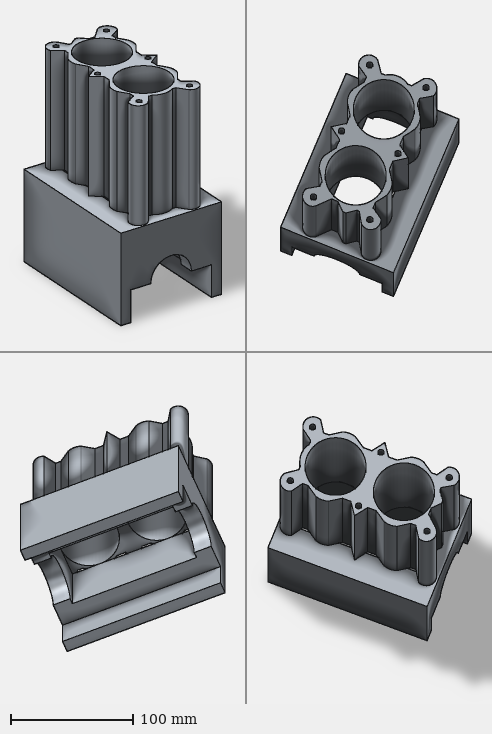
import cadquery as cq

block_length = 140.0
block_width = 100.0
total_height = 195.0
cylinder_height = 110.0
block_height = total_height - cylinder_height
skirt_thickness = 10.0
skirt_height = 30.0
saddle_radius = 20.0

bore_diameter = 50.0
bore_spacing = 60.0
bore_x = bore_spacing / 2
window_length = bore_spacing + bore_diameter
window_width = bore_diameter

bolt_diameter = 5.0
bolt_spacing_x = 60.0
bolt_spacing_y = 50.0
bolt_depth = 19.5

lobe_reach_x = 65.5
lobe_reach_y = 31.8
lobe_outer = (56.0, 33.2)
lobe_inner = (66.3, 20.3)
valley_y = 23.5
corner_valley_x = (49.7, 45.0)
middle_valley_x = (14.8, 7.5)
bulge_peak_y = 31.0
bulge_side_y = 30.0
bulge_half_width = 5.7
rib_peak_y = 34.1
end_valley_x = 57.1
end_valley_y = (13.5, 10.0)
end_bulge_x = 60.3

relief_x = 56.0
relief_y = (10.7, 5.0)
end_rib_x = 62.4
end_rib_y = (-2.0, -4.7)
rib_valley_points = [(-56.7, -12.3), (-57.1, -14.5)]


def long_side_half(sketch, side_x, side_y, inward):
    """Trace half of a long side, from corner lobe to middle rib or back."""
    bulge = [
        (bore_x + bulge_half_width, bulge_side_y),
        (bore_x, bulge_peak_y),
        (bore_x - bulge_half_width, bulge_side_y),
    ]
    corner_flat = [(x, valley_y) for x in corner_valley_x]
    middle_flat = [(x, valley_y) for x in middle_valley_x]
    path = [lobe_outer] + corner_flat + bulge + middle_flat + [(0, rib_peak_y)]
    if not inward:
        path.reverse()
    points = [(side_x * x, side_y * y) for x, y in path]
    before, crest, after = points[1:3], points[3:6], points[6:]
    sketch = sketch.polyline([points[0]] + before + [crest[0]])
    sketch = sketch.threePointArc(crest[1], crest[2])
    return sketch.polyline([crest[2]] + after)


def corner_lobe(sketch, side_x, side_y, end_point):
    """Round a corner lobe from the current point to end_point."""
    middle = (side_x * lobe_reach_x, side_y * lobe_reach_y)
    return sketch.threePointArc(middle, (side_x * end_point[0], side_y * end_point[1]))


def cylinder_outline():
    """Closed outer wall, clockwise from the back lobe at -X."""
    outline = cq.Workplane("XY").workplane(offset=block_height).moveTo(-lobe_outer[0], lobe_outer[1])
    outline = long_side_half(outline, -1, 1, True)
    outline = long_side_half(outline, 1, 1, False)

    outline = corner_lobe(outline, 1, 1, lobe_inner)
    for y in end_valley_y:
        outline = outline.lineTo(end_valley_x, y)
    outline = outline.threePointArc((end_bulge_x, 0), (end_valley_x, -end_valley_y[1]))
    outline = outline.lineTo(end_valley_x, -end_valley_y[0])
    outline = outline.lineTo(lobe_inner[0], -lobe_inner[1])
    outline = corner_lobe(outline, 1, -1, lobe_outer)

    outline = long_side_half(outline, 1, -1, True)
    outline = long_side_half(outline, -1, -1, False)

    outline = corner_lobe(outline, -1, -1, lobe_inner)
    end_points = rib_valley_points[::-1]
    end_points += [(-end_rib_x, y) for y in end_rib_y[::-1]]
    end_points += [(-relief_x, y) for y in relief_y[::-1]]
    end_points.append((-lobe_inner[0], lobe_inner[1]))
    for point in end_points:
        outline = outline.lineTo(*point)
    return corner_lobe(outline, -1, 1, lobe_outer).close()


def make_cylinders():
    """Twin cylinder casting with open bores and blind bolt holes in its top."""
    body = cylinder_outline().extrude(cylinder_height)
    top = cq.Workplane("XY").workplane(offset=total_height)
    bores = (
        top.rarray(bore_spacing, 2, 2, 1)
        .circle(bore_diameter / 2)
        .extrude(-cylinder_height)
    )
    bolts = (
        top.rarray(bolt_spacing_x, bolt_spacing_y, 3, 2)
        .circle(bolt_diameter / 2)
        .extrude(-bolt_depth)
    )
    return body.cut(bores).cut(bolts)


def make_crankcase():
    """Block with side skirts, a half-round shaft saddle and a window to the bores."""
    upward = (True, True, False)
    body = cq.Workplane("XY").box(block_length, block_width, block_height, centered=upward)
    channel_width = block_width - 2 * skirt_thickness
    channel = cq.Workplane("XY").box(block_length, channel_width, skirt_height, centered=upward)
    saddle = (
        cq.Workplane("YZ")
        .center(0, skirt_height)
        .circle(saddle_radius)
        .extrude(block_length / 2, both=True)
    )
    window = cq.Workplane("XY").box(window_length, window_width, block_height, centered=upward)
    return body.cut(channel).cut(saddle).cut(window)


crankcase = make_crankcase()
cylinders = make_cylinders()

result = cq.Compound.makeCompound([crankcase.val(), cylinders.val()])